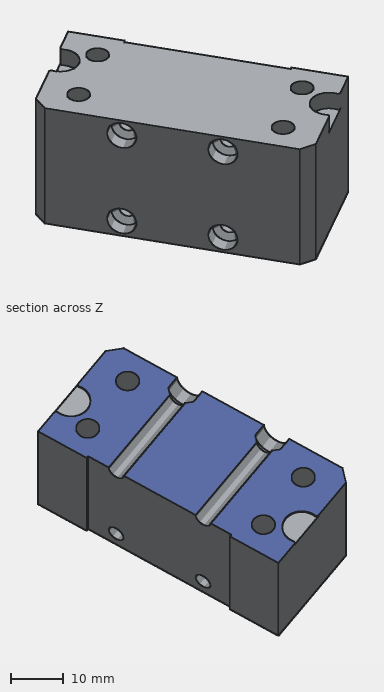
import cadquery as cq
import math

length = 55.4
depth = 25.5
height = 27.0
corner_chamfer = 2.5

relief_width = 32.9
relief_depth = 0.5

vertical_hole_diameter = 4.4
vertical_spacing_x = 40.45
vertical_spacing_y = 13.5
vertical_front_offset = 6.05

cross_hole_diameter = 3.4
counterbore_diameter = 5.75
counterbore_depth = 3.0
cone_angle = 90.0
cross_spacing = 20.0
cross_bottom_offset = 3.5

pocket_radius = 3.65
pocket_depth = 3.7
pocket_inset = 1.15
mouth_radius = 0.5
pocket_axis_offset = 15.9

front_y = -depth / 2


def make_block():
    block = cq.Workplane("XY").box(length, depth, height, centered=(True, True, False))
    return block.edges("|Z and <Y").chamfer(corner_chamfer)


def make_relief():
    relief_origin = (0, depth / 2 - relief_depth, 0)
    return cq.Workplane("XY", origin=relief_origin).box(
        relief_width, relief_depth, height, centered=(True, False, False)
    )


def make_vertical_holes():
    center_y = front_y + vertical_front_offset + vertical_spacing_y / 2
    return (
        cq.Workplane("XY")
        .center(0, center_y)
        .rarray(vertical_spacing_x, vertical_spacing_y, 2, 2)
        .circle(vertical_hole_diameter / 2)
        .extrude(height)
    )


def make_cross_holes():
    """Through holes, each with a counterbore that narrows to the hole in a cone."""
    hole_radius = cross_hole_diameter / 2
    bore_radius = counterbore_diameter / 2
    cone_depth = (bore_radius - hole_radius) / math.tan(math.radians(cone_angle / 2))
    profile = [
        (0, front_y),
        (bore_radius, front_y),
        (bore_radius, front_y + counterbore_depth),
        (hole_radius, front_y + counterbore_depth + cone_depth),
        (hole_radius, depth / 2),
        (0, depth / 2),
    ]
    cutter = cq.Workplane("XY").polyline(profile).close().revolve(360, (0, 0), (0, 1)).val()
    center_z = cross_bottom_offset + cross_spacing / 2
    half_spacing = cross_spacing / 2
    holes = cq.Workplane("XY")
    for offset_x in (-half_spacing, half_spacing):
        for offset_z in (-half_spacing, half_spacing):
            holes.add(cutter.translate(cq.Vector(offset_x, 0, center_z + offset_z)))
    return holes.combine()


def make_pocket(side):
    """Round pocket with a rounded mouth; side is -1 or 1 along X."""
    axis_x = side * (length / 2 - pocket_inset)
    axis_y = front_y + pocket_axis_offset
    floor = cq.Workplane("XY", origin=(axis_x, axis_y, height - pocket_depth))
    return floor.circle(pocket_radius).extrude(pocket_depth)


def round_pocket_mouths(body):
    """Round the vertical edges where the pockets break through the end faces."""
    axis_y = front_y + pocket_axis_offset
    mouth_zone = cq.selectors.BoxSelector(
        (-length, axis_y - pocket_radius, 0),
        (length, axis_y + pocket_radius, 2 * height),
    )
    return body.edges("|Z").edges(">X or <X").edges(mouth_zone).fillet(mouth_radius)


body = make_block().cut(make_relief()).cut(make_vertical_holes()).cut(make_cross_holes())
for side in (-1, 1):
    body = body.cut(make_pocket(side))
result = round_pocket_mouths(body)